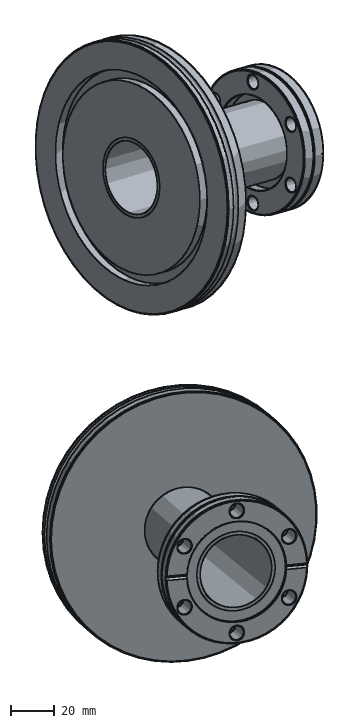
import cadquery as cq
import math

TOTAL_LENGTH = 90.0

WIDE_DIAMETER = 130.0
WIDE_THICKNESS = 12.0
WIDE_CHAMFER = 0.5
CLAMP_GROOVE_WIDTH = 3.1
CLAMP_GROOVE_CENTRE = 5.1
FACE_GROOVE_OUTER_DIAMETER = 102.0
FACE_GROOVE_INNER_DIAMETER = 92.2
FACE_GROOVE_DEPTH = 4.5

TUBE_OUTER_DIAMETER = 38.1
TUBE_INNER_DIAMETER = 34.8

RING_DIAMETER = 69.2
RING_THICKNESS = 12.7
RING_CHAMFER = 0.5
RING_BORE_DIAMETER = 45.5
HUB_SEAT_DIAMETER = 48.4
HOLE_CHAMFER = 0.3
RIM_GROOVE_WIDTH = 0.9
BOLT_COUNT = 6
BOLT_HOLE_DIAMETER = 6.8
BOLT_CIRCLE_DIAMETER = 58.8
FIRST_BOLT_ANGLE = 30.0
NOTCH_WIDTH = 2.1
NOTCH_DEPTH = 1.0

HUB_DIAMETER = 48.1
HUB_SEAT_DEPTH = 7.3
HUB_FACE_RECESS = 1.3

RING_START = TOTAL_LENGTH - RING_THICKNESS
HUB_END = TOTAL_LENGTH - HUB_FACE_RECESS
HUB_START = TOTAL_LENGTH - HUB_SEAT_DEPTH


def cylinder(diameter, start, end):
    """Solid cylinder on the Y axis from Y = start to Y = end."""
    return cq.Workplane("XZ", origin=(0, start, 0)).circle(diameter / 2).extrude(start - end)


def sleeve(outer_diameter, inner_diameter, start, end):
    """Hollow cylinder on the Y axis."""
    return cylinder(outer_diameter, start, end).cut(cylinder(inner_diameter, start, end))


def round_groove(rim_diameter, width, centre):
    """Cutter for a semicircular groove around a rim, centred at Y = centre."""
    rim = rim_diameter / 2
    return (
        cq.Workplane("XY")
        .moveTo(rim, centre - width / 2)
        .threePointArc((rim - width / 2, centre), (rim, centre + width / 2))
        .close()
        .revolve(360, (0, 0, 0), (0, 1, 0))
    )


def make_wide_flange():
    face_groove = sleeve(FACE_GROOVE_OUTER_DIAMETER, FACE_GROOVE_INNER_DIAMETER, 0, FACE_GROOVE_DEPTH)
    return (
        cylinder(WIDE_DIAMETER, 0, WIDE_THICKNESS)
        .edges()
        .chamfer(WIDE_CHAMFER)
        .cut(round_groove(WIDE_DIAMETER, CLAMP_GROOVE_WIDTH, CLAMP_GROOVE_CENTRE))
        .cut(face_groove)
        .cut(cylinder(TUBE_OUTER_DIAMETER, 0, WIDE_THICKNESS))
    )


def make_tube():
    return sleeve(TUBE_OUTER_DIAMETER, TUBE_INNER_DIAMETER, 0, HUB_END)


def chamfered_hole(diameter):
    """Cutter for a hole through the bolt ring, opened by a chamfer at both ends."""
    hole_radius = diameter / 2
    mouth_radius = hole_radius + HOLE_CHAMFER
    return (
        cq.Workplane("XY")
        .moveTo(0, RING_START)
        .lineTo(mouth_radius, RING_START)
        .lineTo(hole_radius, RING_START + HOLE_CHAMFER)
        .lineTo(hole_radius, TOTAL_LENGTH - HOLE_CHAMFER)
        .lineTo(mouth_radius, TOTAL_LENGTH)
        .lineTo(0, TOTAL_LENGTH)
        .close()
        .revolve(360, (0, 0, 0), (0, 1, 0))
    )


def cut_bolt_holes(ring):
    """Cut the holes evenly spaced on the bolt circle."""
    hole = chamfered_hole(BOLT_HOLE_DIAMETER)
    radius = BOLT_CIRCLE_DIAMETER / 2
    for index in range(BOLT_COUNT):
        angle = math.radians(FIRST_BOLT_ANGLE + index * 360 / BOLT_COUNT)
        place = (radius * math.cos(angle), 0, radius * math.sin(angle))
        ring = ring.cut(hole.translate(place))
    return ring


def leak_check_notch():
    """V-shaped notch along X across the bolt ring's end face."""
    return (
        cq.Workplane("YZ")
        .moveTo(TOTAL_LENGTH, -NOTCH_WIDTH / 2)
        .lineTo(TOTAL_LENGTH - NOTCH_DEPTH, 0)
        .lineTo(TOTAL_LENGTH, NOTCH_WIDTH / 2)
        .close()
        .extrude(RING_DIAMETER / 2, both=True)
    )


def make_bolt_ring():
    mid_thickness = (RING_START + TOTAL_LENGTH) / 2
    ring = (
        cylinder(RING_DIAMETER, RING_START, TOTAL_LENGTH)
        .edges()
        .chamfer(RING_CHAMFER)
        .cut(round_groove(RING_DIAMETER, RIM_GROOVE_WIDTH, mid_thickness))
        .cut(chamfered_hole(RING_BORE_DIAMETER))
        .cut(cylinder(HUB_SEAT_DIAMETER, HUB_START, TOTAL_LENGTH))
        .cut(leak_check_notch())
    )
    return cut_bolt_holes(ring)


def make_hub():
    return sleeve(HUB_DIAMETER, TUBE_OUTER_DIAMETER, HUB_START, HUB_END)


wide_flange = make_wide_flange()
tube = make_tube()
bolt_ring = make_bolt_ring()
hub = make_hub()

result = cq.Compound.makeCompound([wide_flange.val(), tube.val(), bolt_ring.val(), hub.val()])